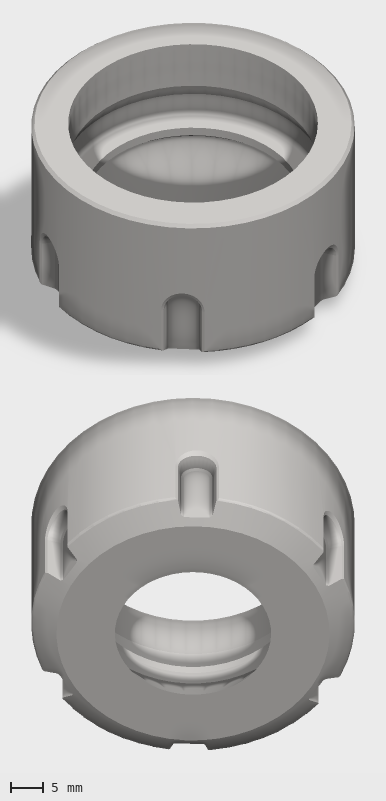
import cadquery as cq
import math

height = 27.4
outer_radius = 24.85
top_chamfer = 0.5
base_radius = 20.95
base_cone_angle = 30.0
base_edge_round = 0.5

bore_radius = 38.35 / 2
bore_depth = 8.25
groove_radius = 40.5 / 2
groove_taper_height = 2.5
groove_wall_height = 3.1
groove_floor_round = 0.75
seat_radius = 33.45 / 2
seat_wall_height = 1.5
undercut_height = 1.1
exit_radius = 24.0 / 2
exit_half_angle = 30.0

slot_count = 6
slot_first_angle = 30.0
slot_floor_radius = 22.15
slot_half_width = 2.0
slot_arc_height = 10.2
slot_floor_bevel = 0.25
slot_rim_bevel = 0.45
slot_bevel_angle = 60.0
slot_wall_draft = 15.0
overrun = 1.0


def slot_layer(inner_radius, half_width, rise, draft):
    """Round-ended slot layer facing +X, widening outwards; half_width is its narrow end."""
    plane = cq.Plane(origin=(inner_radius, 0, 0), xDir=(0, 1, 0), normal=(1, 0, 0))
    return (
        cq.Workplane(plane)
        .moveTo(-half_width, -overrun)
        .lineTo(-half_width, slot_arc_height)
        .threePointArc((0, slot_arc_height + half_width), (half_width, slot_arc_height))
        .lineTo(half_width, -overrun)
        .close()
        .extrude(rise, taper=-draft)
    )


def slot_cutter():
    """Slot from floor to rim: floor bevel, drafted wall and rim bevel."""
    bevel_slope = math.tan(math.radians(slot_bevel_angle))
    wall_slope = math.tan(math.radians(slot_wall_draft))
    wall_start = slot_floor_radius + slot_floor_bevel
    wall_end = outer_radius - slot_rim_bevel
    wall_start_width = slot_half_width + slot_floor_bevel * bevel_slope
    wall_end_width = wall_start_width + (wall_end - wall_start) * wall_slope

    floor_bevel = slot_layer(slot_floor_radius, slot_half_width, slot_floor_bevel, slot_bevel_angle)
    wall = slot_layer(wall_start, wall_start_width, wall_end - wall_start, slot_wall_draft)
    rim_bevel = slot_layer(wall_end, wall_end_width, slot_rim_bevel + overrun, slot_bevel_angle)
    return floor_bevel.union(wall).union(rim_bevel)


def outer_envelope():
    """Turned outside shape: top chamfer, conical base and a rounded edge between."""
    slope = math.radians(base_cone_angle)
    corner_height = (outer_radius - base_radius) * math.tan(slope)
    tangent_length = base_edge_round * math.tan((math.pi / 2 - slope) / 2)
    round_center = (outer_radius - base_edge_round, corner_height + tangent_length)
    middle_angle = -(math.pi / 2 - slope) / 2
    round_start = (
        outer_radius - tangent_length * math.cos(slope),
        corner_height - tangent_length * math.sin(slope),
    )
    round_middle = (
        round_center[0] + base_edge_round * math.cos(middle_angle),
        round_center[1] + base_edge_round * math.sin(middle_angle),
    )
    return (
        cq.Workplane("XZ")
        .lineTo(base_radius, 0)
        .lineTo(*round_start)
        .threePointArc(round_middle, (outer_radius, round_center[1]))
        .lineTo(outer_radius, height - top_chamfer)
        .lineTo(outer_radius - top_chamfer, height)
        .lineTo(0, height)
        .close()
        .revolve(360, (0, 0, 0), (0, 1, 0))
    )


def bore_cutter():
    """Turned inside shape: bore, tapered groove, undercut seat and conical exit."""
    groove_top = height - bore_depth
    wall_top = groove_top - groove_taper_height
    round_top = wall_top - groove_wall_height
    seat_height = round_top - groove_floor_round
    lip_bottom = seat_height - seat_wall_height
    undercut_bottom = lip_bottom - undercut_height
    undercut_radius = exit_radius + undercut_bottom * math.tan(math.radians(exit_half_angle))
    arc_drop = groove_floor_round * math.sin(math.radians(45))
    arc_inset = groove_floor_round - arc_drop
    return (
        cq.Workplane("XZ")
        .lineTo(exit_radius, 0)
        .lineTo(undercut_radius, undercut_bottom)
        .lineTo(seat_radius, lip_bottom)
        .lineTo(seat_radius, seat_height)
        .lineTo(groove_radius - groove_floor_round, seat_height)
        .threePointArc((groove_radius - arc_inset, round_top - arc_drop), (groove_radius, round_top))
        .lineTo(groove_radius, wall_top)
        .lineTo(bore_radius, groove_top)
        .lineTo(bore_radius, height)
        .lineTo(0, height)
        .close()
        .revolve(360, (0, 0, 0), (0, 1, 0))
    )


result = outer_envelope().cut(bore_cutter())
slot = slot_cutter()
for index in range(slot_count):
    angle = slot_first_angle + index * 360.0 / slot_count
    result = result.cut(slot.rotate((0, 0, 0), (0, 0, 1), angle))